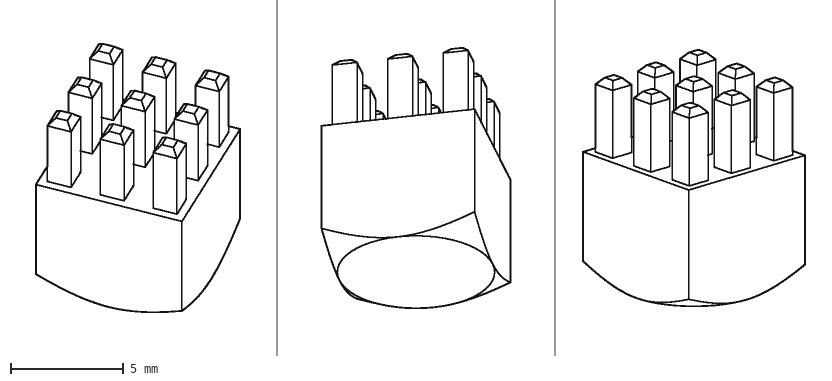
import cadquery as cq
import math

block_width = 7.0
total_height = 9.5
pin_height = 3.515
block_height = total_height - pin_height

chamfer_angle = 30.0
inscribed_radius = block_width / 2
corner_radius = inscribed_radius * math.sqrt(2)
cone_margin = 0.475

pins_per_side = 3
pin_pitch = 2.54
pin_width = 1.14
tip_width = 0.55
tip_height = 0.32


def make_block():
    """Square block whose bottom corners are turned off by a cone."""
    block = cq.Workplane("XY").box(
        block_width, block_width, block_height, centered=(True, True, False)
    )
    envelope_radius = corner_radius + cone_margin
    cone_height = (envelope_radius - inscribed_radius) * math.tan(math.radians(chamfer_angle))
    envelope = (
        cq.Workplane("XZ")
        .lineTo(inscribed_radius, 0)
        .lineTo(envelope_radius, cone_height)
        .lineTo(envelope_radius, block_height)
        .lineTo(0, block_height)
        .close()
        .revolve(360, (0, 0, 0), (0, 1, 0))
    )
    return block.intersect(envelope)


def make_pins():
    """Grid of square pins with bevelled tips, standing on the block."""
    bevel_width = (pin_width - tip_width) / 2
    return (
        cq.Workplane("XY", origin=(0, 0, block_height))
        .rarray(pin_pitch, pin_pitch, pins_per_side, pins_per_side)
        .rect(pin_width, pin_width)
        .extrude(pin_height)
        .faces(">Z")
        .chamfer(tip_height, bevel_width)
    )


result = make_block().union(make_pins())